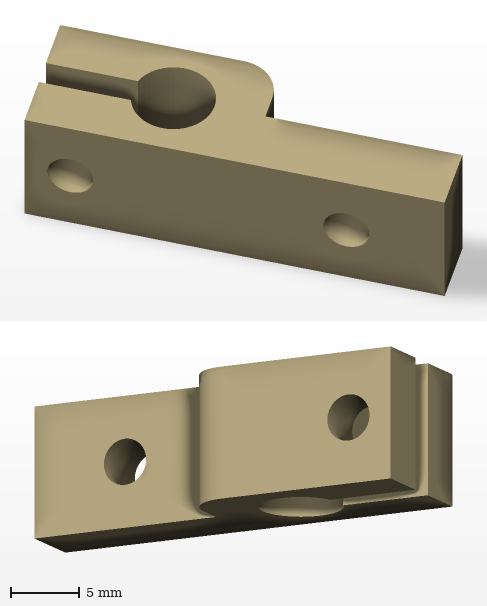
import cadquery as cq

length = 32.0
width = 10.0
height = 10.0
clamp_length = 17.0
corner_radius = 3.0
bore_diameter = 6.27
bore_x = 10.0
slot_width = 2.0
screw_diameter = 3.5
clamp_screw_x = 3.5
tab_screw_x = 24.5

mid_y = width / 2
mid_z = height / 2


def make_body():
    """Clamp block with a half-width mounting tab and one rounded corner."""
    clamp = cq.Workplane("XY").box(clamp_length, width, height, centered=False)
    clamp = clamp.edges("|Z and >X and >Y").fillet(corner_radius)
    tab = cq.Workplane("XY").box(length, mid_y, height, centered=False)
    return clamp.union(tab)


def make_clamp_opening():
    """Vertical bore joined to the open end of the block by a slot."""
    bore = cq.Workplane("XY").center(bore_x, mid_y).circle(bore_diameter / 2).extrude(height)
    slot = (
        cq.Workplane("XY")
        .center(bore_x / 2, mid_y)
        .rect(bore_x, slot_width)
        .extrude(height)
    )
    return bore.union(slot)


def make_screw_holes():
    """Two through holes along Y, one across the slot and one in the tab."""
    return (
        cq.Workplane("XZ")
        .pushPoints([(clamp_screw_x, mid_z), (tab_screw_x, mid_z)])
        .circle(screw_diameter / 2)
        .extrude(-width)
    )


result = make_body().cut(make_clamp_opening()).cut(make_screw_holes())